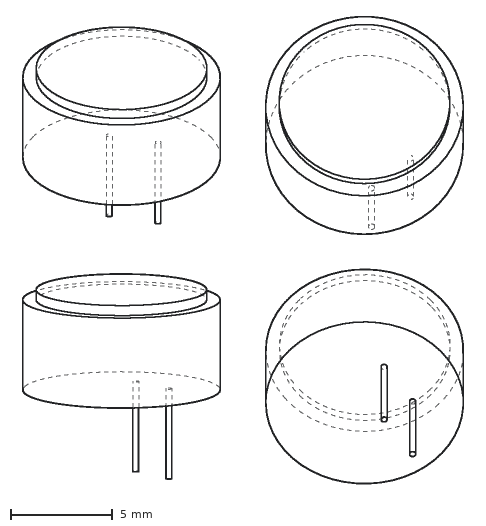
import cadquery as cq

BODY_DIAMETER = 9.7
BODY_HEIGHT = 4.5
CAP_DIAMETER = 8.38
CAP_HEIGHT = 0.5
PIN_DIAMETER = 0.3
PIN_LENGTH = 4.5
PIN_PITCH = 2.5
PIN_ROW_Y = 2.0


def make_body():
    """Round housing standing on the XY plane."""
    return cq.Workplane("XY").circle(BODY_DIAMETER / 2).extrude(BODY_HEIGHT)


def add_cap(part):
    """Raised disc, concentric with the housing, on its top face."""
    return part.faces(">Z").workplane().circle(CAP_DIAMETER / 2).extrude(CAP_HEIGHT)


def add_pins(part):
    """Two straight leads hanging from the underside of the housing."""
    pin_centers = [(side * PIN_PITCH / 2, PIN_ROW_Y) for side in (-1, 1)]
    pins = (
        cq.Workplane("XY")
        .pushPoints(pin_centers)
        .circle(PIN_DIAMETER / 2)
        .extrude(-PIN_LENGTH)
    )
    return part.union(pins)


result = add_pins(add_cap(make_body()))